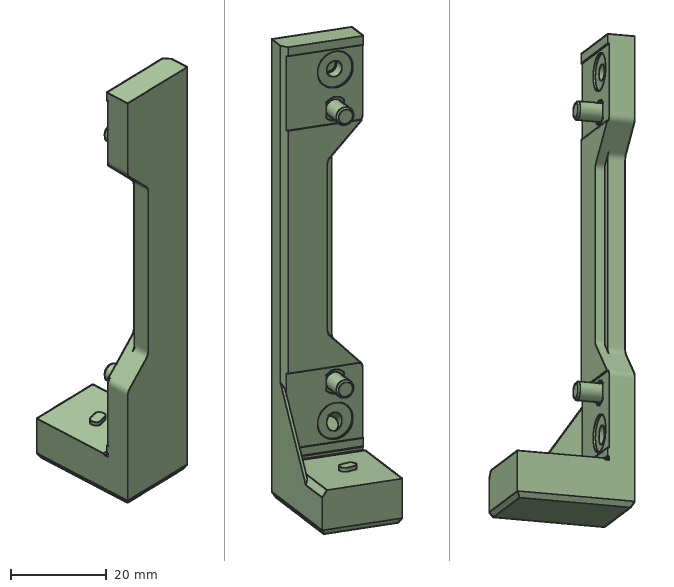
import cadquery as cq

length_x = 26.0
width_y = 18.4
height_z = 102.0

foot_height = 10.0
foot_taper_height = 1.2
foot_taper_inset = 0.7

arm_thickness = 6.0
arm_face_x = length_x - arm_thickness

bevel_depth = 1.5
bevel_width = 1.1

waist_low_z = 28.7
waist_high_z = 83.65
waist_front_depth = 8.3
waist_rear_depth = 6.3
waist_front_thickness = 2.1
waist_fillet = 2.0

gusset_thickness = 0.7
gusset_foot_x = 9.5
gusset_top_z = 24.9

recess_depth = 0.3
recess_face_x = arm_face_x + recess_depth
lower_recess = (12.4, 29.25)
upper_recess = (83.35, 99.95)

groove_depth = 0.3
groove_foot_floor = 0.5
groove_foot_mouth = 0.9
groove_arm_floor = 0.3
groove_arm_mouth = 0.6

hole_line_y = 6.32
lower_pin_z = 25.8
upper_pin_z = 86.55
pin_to_screw = 8.75
lower_screw_z = lower_pin_z - pin_to_screw
upper_screw_z = upper_pin_z + pin_to_screw

pin_diameter = 4.0
pin_tip_x = 15.0
pin_length = 10.0
pin_chamfer = 0.4
pin_relief_diameter = 5.3
pin_relief_width = 4.13
pin_relief_depth = 0.4

spotface_diameter = 8.1
spotface_depth = 0.5
spotface_x = recess_face_x + spotface_depth
screw_diameter = 3.5
screw_depth = 3.0
screw_floor_chamfer = 0.2
slanted_screw_depth = 3.0
slant_angle = 32.0

key_x = 9.95
key_y = 8.1
key_width = 2.4
key_length = 3.85
key_corner_diameter = 2.0
key_height = 0.9
key_angle = 13.0


def block(x_range, y_range, z_range):
    """Box given by its limits along each axis."""
    limits = (x_range, y_range, z_range)
    sizes = [high - low for low, high in limits]
    origin = [low for low, high in limits]
    return cq.Workplane("XY").box(*sizes, centered=False).translate(tuple(origin))


def cylinder_into_arm(diameter, x_start, depth, z):
    """Cylinder on the hole line that runs from x_start toward +X."""
    return (
        cq.Workplane("YZ", origin=(x_start, hole_line_y, z))
        .circle(diameter / 2)
        .extrude(depth)
    )


def make_foot():
    foot = block((0, length_x), (0, width_y), (0, foot_height))
    foot = foot.faces("<Z").chamfer(foot_taper_height, foot_taper_inset)
    bevel = [
        (width_y - bevel_width, foot_height),
        (width_y, foot_height - bevel_depth),
        (width_y, foot_height),
    ]
    return foot.cut(cq.Workplane("YZ").polyline(bevel).close().extrude(arm_face_x + bevel_depth))


def waist_cut(depth, x_range):
    """Trapezoid notch with 45 degree ends, rounded at its two inner corners."""
    x_start, x_end = x_range
    outline = [
        (0, waist_low_z),
        (depth, waist_low_z + depth),
        (depth, waist_high_z - depth),
        (0, waist_high_z),
    ]
    return (
        cq.Workplane("YZ", origin=(x_start, 0, 0))
        .polyline(outline)
        .close()
        .extrude(x_end - x_start)
        .edges("|X and >Y")
        .fillet(waist_fillet)
    )


def make_arm():
    arm = block((arm_face_x, length_x), (0, width_y), (foot_taper_height, height_z))
    bevel = [
        (arm_face_x, width_y - bevel_width),
        (arm_face_x + bevel_depth, width_y),
        (arm_face_x, width_y),
    ]
    arm = arm.cut(cq.Workplane("XY").polyline(bevel).close().extrude(height_z))
    step_x = arm_face_x + waist_front_thickness
    arm = arm.cut(waist_cut(waist_rear_depth, (arm_face_x, length_x)))
    for end_z in (waist_low_z, waist_high_z):
        shoulder = cq.selectors.NearestToPointSelector((length_x - arm_thickness / 2, 0, end_z))
        arm = arm.edges(shoulder).fillet(waist_fillet)
    return arm.cut(waist_cut(waist_front_depth, (arm_face_x, step_x)))


def make_gusset():
    """Thin triangular plate that fills the corner along the +Y side."""
    slope = (gusset_top_z - foot_height) / (arm_face_x - gusset_foot_x)
    inner_x = arm_face_x + bevel_depth
    bottom_z = foot_height - bevel_depth
    outline = [
        (gusset_foot_x - bevel_depth / slope, bottom_z),
        (inner_x, gusset_top_z + bevel_depth * slope),
        (inner_x, bottom_z),
    ]
    return (
        cq.Workplane("XZ", origin=(0, width_y, 0))
        .polyline(outline)
        .close()
        .extrude(gusset_thickness)
    )


def make_key():
    return (
        cq.Workplane("XY", origin=(key_x, key_y, foot_height))
        .transformed(rotate=(0, 0, key_angle))
        .rect(key_width, key_length)
        .extrude(key_height)
        .edges("|Z")
        .fillet(key_corner_diameter / 2)
    )


def corner_groove():
    """Square-bottomed undercut with sloped lips along the corner between foot and arm."""
    outline = [
        (arm_face_x - groove_foot_mouth, foot_height),
        (arm_face_x - groove_foot_floor, foot_height - groove_depth),
        (arm_face_x + groove_depth, foot_height - groove_depth),
        (arm_face_x + groove_depth, foot_height + groove_arm_floor),
        (arm_face_x, foot_height + groove_arm_mouth),
    ]
    return (
        cq.Workplane("XZ")
        .polyline(outline)
        .close()
        .extrude(-(width_y - gusset_thickness))
    )


def pin_socket(z):
    """Hole for a pin, opened at its mouth by a round relief with two flat sides."""
    relief = cylinder_into_arm(pin_relief_diameter, recess_face_x, pin_relief_depth, z)
    half_width = pin_relief_width / 2
    flats = block(
        (recess_face_x, length_x),
        (hole_line_y - half_width, hole_line_y + half_width),
        (z - pin_relief_diameter, z + pin_relief_diameter),
    )
    return relief.intersect(flats).union(cylinder_into_arm(pin_diameter, pin_tip_x, pin_length, z))


def spotface(z):
    return cylinder_into_arm(spotface_diameter, arm_face_x, recess_depth + spotface_depth, z)


def straight_screw_hole():
    hole = cylinder_into_arm(screw_diameter, spotface_x, screw_depth, upper_screw_z)
    return hole.faces(">X").chamfer(screw_floor_chamfer)


def slanted_screw_hole():
    """Flat-bottomed hole that dips downward as it enters the arm."""
    lead_in = 2 * screw_diameter
    hole = cylinder_into_arm(
        screw_diameter, recess_face_x - lead_in, lead_in + slanted_screw_depth, lower_screw_z
    )
    pivot = (recess_face_x, hole_line_y, lower_screw_z)
    pivot_end = (recess_face_x, width_y, lower_screw_z)
    hole = hole.rotate(pivot, pivot_end, slant_angle)
    return hole.intersect(block((spotface_x, length_x), (0, width_y), (0, height_z)))


def make_bracket():
    bracket = make_foot().union(make_arm())
    for z_range in (lower_recess, upper_recess):
        bracket = bracket.cut(block((arm_face_x, recess_face_x), (0, width_y), z_range))
    bracket = bracket.union(make_gusset()).union(make_key())
    bracket = bracket.cut(corner_groove())
    for z in (lower_pin_z, upper_pin_z):
        bracket = bracket.cut(pin_socket(z))
    for z in (lower_screw_z, upper_screw_z):
        bracket = bracket.cut(spotface(z))
    bracket = bracket.cut(slanted_screw_hole())
    return bracket.cut(straight_screw_hole())


def make_pin(z):
    return cylinder_into_arm(pin_diameter, pin_tip_x, pin_length, z).faces("<X").chamfer(pin_chamfer)


bracket = make_bracket()
pins = [make_pin(z) for z in (lower_pin_z, upper_pin_z)]

result = cq.Compound.makeCompound([bracket.solids().val(), *[pin.val() for pin in pins]])